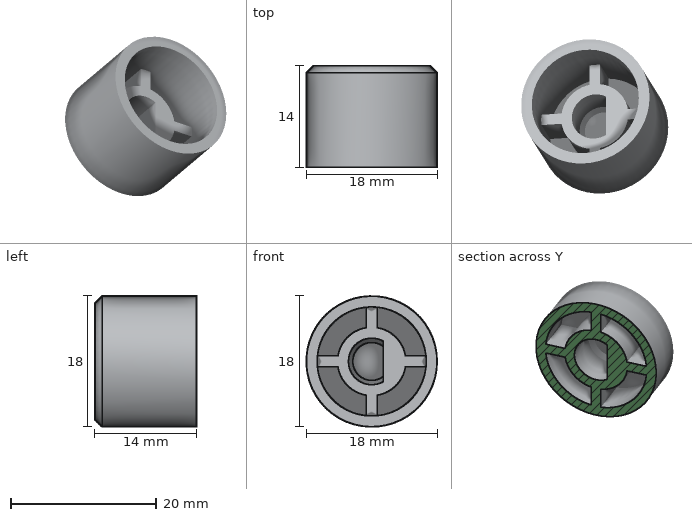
import cadquery as cq

outer_radius = 9.0
length = 14.0
back_chamfer = 1.0
bore_radius = 7.5

back_wall = 1.5
hub_face_depth = 6.5
bore_depth = length - back_wall

hub_radius = 4.7
rib_width = 1.5

socket_radius = 3.2
socket_floor_bevel = 0.6
socket_flat_offset = 1.6


def cylinder(radius, start, end):
    """Cylinder on the Y axis between two depths."""
    return cq.Workplane("XZ", origin=(0, start, 0)).circle(radius).extrude(start - end)


def make_shell():
    body = cylinder(outer_radius, 0, length).faces(">Y").chamfer(back_chamfer)
    return body.cut(cylinder(bore_radius, 0, bore_depth))


def make_hub_and_ribs():
    hub = cylinder(hub_radius, hub_face_depth, bore_depth)
    rib_span = bore_radius + outer_radius
    rib_profile = cq.Workplane("XZ", origin=(0, hub_face_depth, 0))
    rib = rib_profile.rect(rib_span, rib_width).extrude(hub_face_depth - bore_depth)
    for angle in (0, 90):
        hub = hub.union(rib.rotate((0, 0, 0), (0, 1, 0), angle))
    return hub


def make_socket():
    round_socket = cylinder(socket_radius, hub_face_depth, bore_depth)
    round_socket = round_socket.faces(">Y").chamfer(socket_floor_bevel)
    keep = cq.Workplane("XY").box(2 * outer_radius, 2 * length, 2 * outer_radius)
    return round_socket.intersect(keep.translate((socket_flat_offset - outer_radius, 0, 0)))


result = make_shell().union(make_hub_and_ribs()).cut(make_socket())